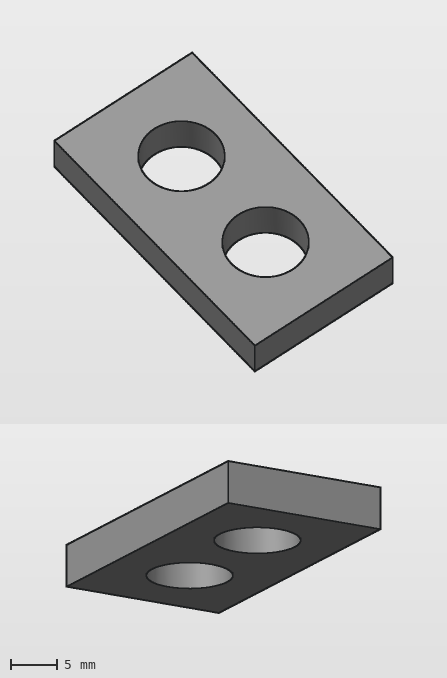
import cadquery as cq

length = 35.05
width = 19.05
thickness = 4.75

hole_diameter = 9.4
hole_spacing = 14.7

plate = cq.Workplane("XY").box(length, width, thickness)

result = (
    plate.faces(">Z")
    .workplane()
    .pushPoints([(-hole_spacing / 2, 0), (hole_spacing / 2, 0)])
    .hole(hole_diameter)
)